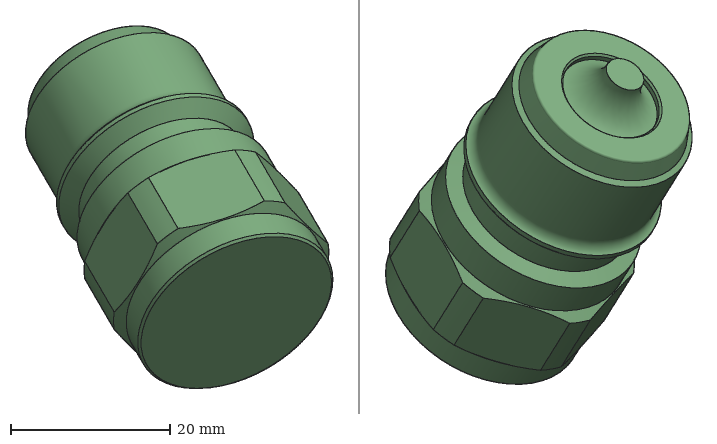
import cadquery as cq
import math

length = 45.75
major_radius = 13.35

nose_x = 4.25
nose_radius = 10.75
nose_edge_round = 0.3
nose_cone_end_x = 7.0
nose_cone_radius = 11.55
barrel_x = 7.35
barrel_radius = 12.3
barrel_end_x = 18.1

collar_x = 19.65
collar_end_x = 20.35
groove_x = 22.15
groove_end_x = 25.3
groove_radius = 11.4
shoulder_x = 26.15
rear_chamfer = 0.3

hex_x = 30.75
hex_end_x = 41.75
hex_across_flats = 27.0
hex_corner_radius = 14.75
hex_face_radius = 13.35
hex_chamfer_length = 0.82

recess_mouth_radius = 6.85
recess_chamfer = 0.27
recess_radius = recess_mouth_radius - recess_chamfer
recess_floor_x = 5.7
tip_radius = 2.55
tip_flare_radius = 5.35


def revolve_about_x(profile):
    """Turn a closed profile drawn as (axial position, radius) about the X axis."""
    return profile.close().revolve(360, (0, 0, 0), (1, 0, 0))


def make_body():
    profile = (
        cq.Workplane("XY")
        .moveTo(nose_x, 0)
        .lineTo(nose_x, nose_radius - nose_edge_round)
        .tangentArcPoint((nose_x + nose_edge_round, nose_radius), relative=False)
        .lineTo(nose_cone_end_x, nose_cone_radius)
        .lineTo(barrel_x, barrel_radius)
        .lineTo(barrel_end_x, barrel_radius)
        .tangentArcPoint((collar_x, major_radius), relative=False)
        .lineTo(collar_end_x, major_radius)
        .lineTo(groove_x, groove_radius)
        .lineTo(groove_end_x, groove_radius)
        .lineTo(shoulder_x, major_radius)
        .lineTo(length - rear_chamfer, major_radius)
        .lineTo(length, major_radius - rear_chamfer)
        .lineTo(length, 0)
    )
    return revolve_about_x(profile)


def make_hex():
    corner_diameter = hex_across_flats / math.cos(math.pi / 6)
    prism = (
        cq.Workplane("YZ")
        .workplane(offset=hex_x)
        .polygon(6, corner_diameter)
        .extrude(hex_end_x - hex_x)
    )
    envelope = revolve_about_x(
        cq.Workplane("XY")
        .moveTo(hex_x, 0)
        .lineTo(hex_x, hex_face_radius)
        .lineTo(hex_x + hex_chamfer_length, hex_corner_radius)
        .lineTo(hex_end_x - hex_chamfer_length, hex_corner_radius)
        .lineTo(hex_end_x, hex_face_radius)
        .lineTo(hex_end_x, 0)
    )
    return prism.intersect(envelope)


def make_recess():
    return revolve_about_x(
        cq.Workplane("XY")
        .moveTo(nose_x, 0)
        .lineTo(nose_x, recess_mouth_radius)
        .lineTo(nose_x + recess_chamfer, recess_radius)
        .lineTo(recess_floor_x, recess_radius)
        .lineTo(recess_floor_x, 0)
    )


def make_valve_tip():
    flare_rise = recess_radius - tip_radius
    end_angle = math.acos(1 - flare_rise / tip_flare_radius)

    def flare_point(angle):
        return (
            tip_flare_radius * math.sin(angle),
            tip_radius + tip_flare_radius * (1 - math.cos(angle)),
        )

    return revolve_about_x(
        cq.Workplane("XY")
        .lineTo(0, tip_radius)
        .threePointArc(flare_point(end_angle / 2), flare_point(end_angle))
        .lineTo(recess_floor_x, recess_radius)
        .lineTo(recess_floor_x, 0)
    )


result = make_body().union(make_hex()).cut(make_recess()).union(make_valve_tip())